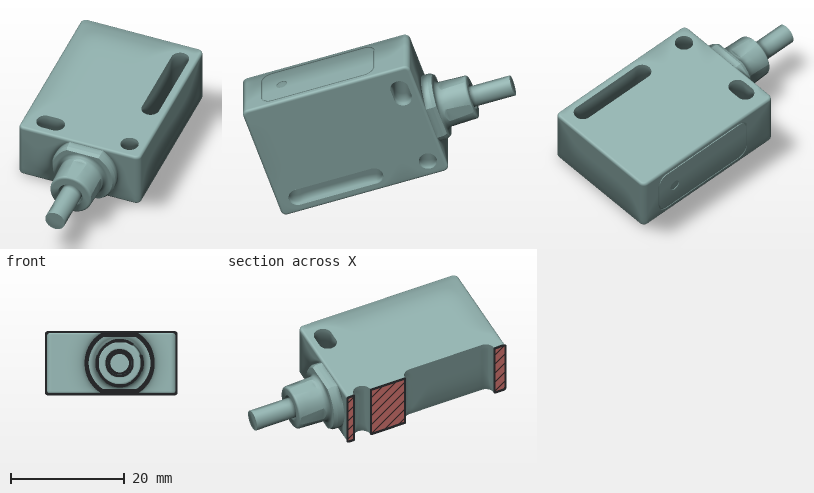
import cadquery as cq
import math

total_length = 46.0
body_width = 23.0
body_length = 30.95
body_height = 11.0
corner_radius = 1.0
rim_radius = 0.5

opening_width = 3.2
opening_x = 8.45
front_opening_y = 3.0
long_slot_length = 17.4
long_slot_rear_margin = 2.2
short_slot_x = -6.5
short_slot_length = 5.2

window_length = 21.05
window_height = 9.0
window_radius = 2.0
window_rear_margin = 3.65
groove_width = 0.28
indicator_diameter = 2.0
indicator_rear_distance = 7.45
engraving_depth = 0.15

gland_x = 1.45
flange_radius = 6.0
flange_length = 1.85
flange_height = 10.2
flange_bevel_length = 0.6
flange_bevel_angle = 30
neck_fillet = 0.5
sleeve_root_radius = 4.1
sleeve_end_radius = 3.9
sleeve_end = 7.65
sleeve_end_fillet = 0.4

flat_distance_start = 3.85
flat_distance_end = 3.8
flat_start = 3.05
flat_step_length = 0.45

cable_radius = 1.85
mouth_radius = 2.3
mouth_depth = 1.85


def make_body():
    """Block with rounded upright corners and a smaller rounding on both rims."""
    block = cq.Workplane("XY").box(body_width, body_length, body_height)
    block = block.edges("|Z").fillet(corner_radius)
    block = block.faces("<Z or >Z").edges().fillet(rim_radius)
    return block.translate((0, body_length / 2, 0))


def slot_cutter(x, y, length, angle):
    """Round-ended cutter along Z; a length equal to the width gives a round hole."""
    straight_part = length - opening_width
    cutter = cq.Workplane("XY").center(x, y)
    if straight_part > 0:
        cutter = cutter.slot2D(length, opening_width, angle)
    else:
        cutter = cutter.circle(opening_width / 2)
    return cutter.extrude(body_height, both=True)


def make_openings():
    """Long slot, short slot and round hole, all passing through the body."""
    long_slot_y = body_length - long_slot_rear_margin - long_slot_length / 2
    long_slot = slot_cutter(opening_x, long_slot_y, long_slot_length, 90)
    short_slot = slot_cutter(short_slot_x, front_opening_y, short_slot_length, 0)
    hole = slot_cutter(opening_x, front_opening_y, opening_width, 0)
    return long_slot.union(short_slot).union(hole)


def rounded_plate(length, height, radius):
    """Plate engraved into the -X side, centred on Y = 0."""
    plate = cq.Workplane("YZ").rect(length, height).extrude(engraving_depth)
    return plate.edges("|X").fillet(radius)


def make_engraving():
    """Ring-shaped window groove together with the round indicator dimple."""
    window_y = body_length - window_rear_margin - window_length / 2
    outer = rounded_plate(window_length, window_height, window_radius)
    inner = rounded_plate(
        window_length - 2 * groove_width,
        window_height - 2 * groove_width,
        window_radius - groove_width,
    )
    groove = outer.cut(inner).translate((0, window_y, 0))
    indicator_y = body_length - indicator_rear_distance
    dimple = cq.Workplane("YZ").center(indicator_y, 0).circle(indicator_diameter / 2)
    dimple = dimple.extrude(engraving_depth)
    return groove.union(dimple).translate((-body_width / 2, 0, 0))


def revolve_about_y(profile):
    """Turn a closed (radius, Y) profile around the Y axis."""
    return profile.close().revolve(360, (0, 0, 0), (0, 1, 0))


def make_flange():
    """Round flange with two flats at top and bottom and a bevelled front edge."""
    half_height = flange_height / 2
    half_flat = math.sqrt(flange_radius**2 - half_height**2)
    bevel_start = flange_length - flange_bevel_length
    outline = (
        cq.Sketch()
        .segment((-half_flat, half_height), (half_flat, half_height))
        .arc((half_flat, half_height), (flange_radius, 0), (half_flat, -half_height))
        .segment((half_flat, -half_height), (-half_flat, -half_height))
        .arc((-half_flat, -half_height), (-flange_radius, 0), (-half_flat, half_height))
        .assemble()
    )
    base = cq.Workplane("XZ").placeSketch(outline).extrude(bevel_start)
    bevel_plane = cq.Workplane("XZ").workplane(offset=bevel_start)
    bevel = bevel_plane.placeSketch(outline).extrude(flange_bevel_length, taper=flange_bevel_angle)
    return base.union(bevel)


def make_sleeve():
    """Tapered sleeve, flared where it meets the flange and rounded at its end."""
    flare_middle = neck_fillet * (1 - math.sqrt(0.5))
    root_y = -flange_length - neck_fillet
    profile = (
        cq.Workplane("XY")
        .moveTo(0, -flange_length)
        .lineTo(sleeve_root_radius + neck_fillet, -flange_length)
        .threePointArc(
            (sleeve_root_radius + flare_middle, -flange_length - flare_middle),
            (sleeve_root_radius, root_y),
        )
        .lineTo(sleeve_end_radius, -sleeve_end)
        .lineTo(0, -sleeve_end)
    )
    return revolve_about_y(profile).faces("<Y").edges().fillet(sleeve_end_fillet)


def make_flat_cutter():
    """Material outside the upper flat, including its sloped starting step."""
    outside = sleeve_root_radius + neck_fillet
    step_top = -flat_start + flat_step_length
    cutter = (
        cq.Workplane("YZ")
        .moveTo(-sleeve_end, flat_distance_end)
        .lineTo(-flat_start, flat_distance_start)
        .lineTo(step_top, sleeve_root_radius)
        .lineTo(step_top, outside)
        .lineTo(-sleeve_end, outside)
        .close()
    )
    return cutter.extrude(sleeve_root_radius, both=True)


def make_mouth():
    """Conical mouth narrowing from the sleeve end face down to the cable."""
    profile = (
        cq.Workplane("XY")
        .moveTo(0, -sleeve_end)
        .lineTo(mouth_radius, -sleeve_end)
        .lineTo(cable_radius, -sleeve_end + mouth_depth)
        .lineTo(0, -sleeve_end + mouth_depth)
    )
    return revolve_about_y(profile)


def make_gland():
    """Flange, sleeve and cable on a common axis."""
    sleeve = make_sleeve()
    for quarter in range(4):
        sleeve = sleeve.cut(make_flat_cutter().rotate((0, 0, 0), (0, 1, 0), 90 * quarter))
    sleeve = sleeve.cut(make_mouth())
    cable = cq.Workplane("XZ").circle(cable_radius).extrude(total_length - body_length)
    return make_flange().union(sleeve).union(cable).translate((gland_x, 0, 0))


result = make_body().cut(make_openings()).cut(make_engraving()).union(make_gland())